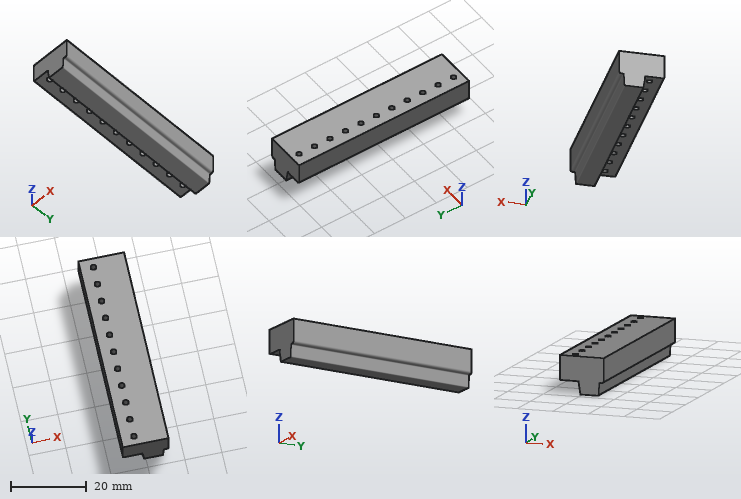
import cadquery as cq

width = 12.4
length = 55.0
height = 10.3

body_height = 6.75
rib_top_left = 5.2
rib_top_right = 11.1
rib_bottom_left = 5.8
rib_bottom_right = 10.9

left_edge_radius = 0.5
right_edge_radius = 0.65
rib_root_radius = 0.3
rib_tip_radius = 0.3

hole_count = 11
hole_pitch = length / hole_count
hole_diameter = 1.5
hole_x = 3.5

body_bottom = height - body_height


def fillet_edge(solid, x, z, radius):
    """Round the lengthwise edge at the given cross-section corner."""
    return solid.edges(cq.selectors.NearestToPointSelector((x, length / 2, z))).fillet(radius)


def make_profile_bar():
    """Cross-section extruded along Y, with its lengthwise edges rounded."""
    outline = [
        (0, height),
        (0, body_bottom),
        (rib_top_left, body_bottom),
        (rib_bottom_left, 0),
        (rib_bottom_right, 0),
        (rib_top_right, body_bottom),
        (width, body_bottom),
        (width, height),
    ]
    bar = cq.Workplane("XZ").polyline(outline).close().extrude(-length)
    bar = fillet_edge(bar, 0, body_bottom, left_edge_radius)
    bar = fillet_edge(bar, width, body_bottom, right_edge_radius)
    bar = fillet_edge(bar, rib_top_right, body_bottom, rib_root_radius)
    return fillet_edge(bar, rib_bottom_right, 0, rib_tip_radius)


def make_holes():
    """Vertical drills, evenly spaced with half a pitch left at each end."""
    centers = [(hole_x, hole_pitch * (i + 0.5)) for i in range(hole_count)]
    return cq.Workplane("XY").pushPoints(centers).circle(hole_diameter / 2).extrude(height)


result = make_profile_bar().cut(make_holes())